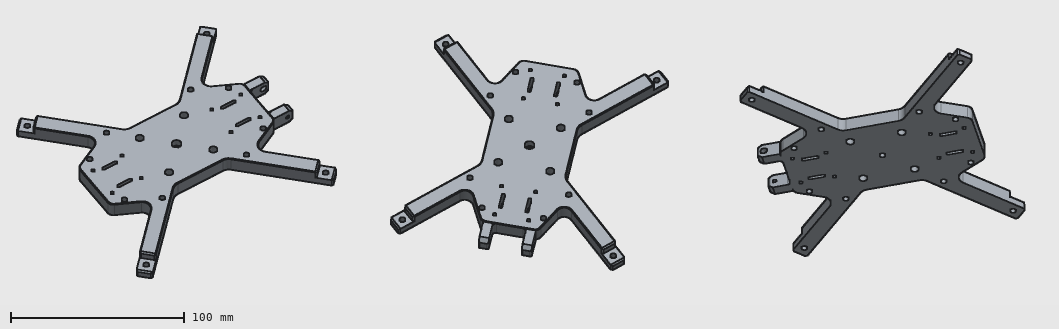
import cadquery as cq
import math

THICKNESS = 10.0
PLATE_HALF_WIDTH = 24.9
PLATE_HALF_LENGTH = 57.0
PLATE_END_HALF_WIDTH = 16.7
TAPER_SLOPE = 2.0
PLATE_CORNER_RADIUS = 4.0
WAIST_RADIUS = 6.0
ARMPIT_RADIUS = 5.0
RIM_CHAMFER = 0.5

ARM_ANGLES = (45, 135, 225, 315)
ARM_WIDTH = 9.6
ARM_LENGTH = 93.2
STEP_START = 83.5
STEP_HEIGHT = THICKNESS / 2
TIP_CHAMFER = 1.0
TIP_OVERLAP = 2.8

LUG_X = 12.7
LUG_WIDTH = 5.7
LUG_END_Y = 70.5
LUG_NOSE_LENGTH = 2.8
LUG_NOSE_DROP = 2.2
LUG_EDGE_FILLET = 1.0
LUG_ROOT_FILLET = 2.0
LUG_HOLE_Y = 66.6
LEFT_LUG_HOLE_DIAMETER = 4.0
RIGHT_LUG_HOLE_DIAMETER = 2.2

TIP_HOLE = (62.0, 62.0, 3.3)
ARM_HOLE = (29.1, 29.1, 3.3)
TAPER_HOLE = (18.1, 48.0, 3.3)
MOUNT_HOLE = (15.3, 15.3, 4.7)
INNER_TIE_HOLE = (10.0, 31.0, 2.0)
OUTER_TIE_HOLE = (10.0, 51.0, 2.0)
SLOT_X = 7.8
SLOT_Y = 41.0
SLOT_LENGTH = 10.0
SLOT_WIDTH = 2.0
CENTRE_DIAMETER = 3.3
CENTRE_BORE_DIAMETER = 5.5
CENTRE_BORE_DEPTH = THICKNESS / 2

POINT_REACH = 0.07


def mirrored(x, y):
    """The four mirror images of a point about the X and Y axes."""
    return [(sx * x, sy * y) for sx in (-1, 1) for sy in (-1, 1)]


def edges_at(body, points):
    """Vertical edges of the body that stand at the given points."""

    def is_wanted(edge):
        centre = edge.Center()
        return any(math.dist((centre.x, centre.y), point) < POINT_REACH for point in points)

    return body.edges("|Z").filter(is_wanted)


def arm_block(start, end, bottom, height):
    """A bar along +X with the vertical corners and the top edge of its outer end chamfered."""
    bar = cq.Workplane("XY").box(end - start, ARM_WIDTH, height, centered=(False, True, False))
    bar = bar.translate((start, 0, bottom))
    bar = bar.edges("|Z and >X").chamfer(TIP_CHAMFER)
    return bar.faces(">X").edges(">Z").chamfer(TIP_CHAMFER)


def flat_frame():
    """Tapered plate and four full-height arms, with the corners between them rounded."""
    arm_offset = ARM_WIDTH / math.sqrt(2)
    armpit_x = (PLATE_HALF_LENGTH + TAPER_SLOPE * PLATE_END_HALF_WIDTH - arm_offset) / (1 + TAPER_SLOPE)
    end_corner = (PLATE_END_HALF_WIDTH, PLATE_HALF_LENGTH)
    armpit = (armpit_x, armpit_x + arm_offset)
    waist = (PLATE_HALF_WIDTH, PLATE_HALF_WIDTH - arm_offset)

    right_side = [end_corner, armpit, waist]
    right_side += [(x, -y) for x, y in reversed(right_side)]
    left_side = [(-x, y) for x, y in reversed(right_side)]
    frame = cq.Workplane("XY").polyline(right_side + left_side).close().extrude(THICKNESS)
    arm = arm_block(0, STEP_START, 0, THICKNESS)
    for angle in ARM_ANGLES:
        frame = frame.union(arm.rotate((0, 0, 0), (0, 0, 1), angle))

    frame = edges_at(frame, mirrored(*waist)).fillet(WAIST_RADIUS)
    frame = edges_at(frame, mirrored(*armpit)).fillet(ARMPIT_RADIUS)
    return edges_at(frame, mirrored(*end_corner)).fillet(PLATE_CORNER_RADIUS)


def chamfer_rim(frame):
    """Chamfer the top outline, apart from the arm ends that have their own chamfer."""
    arm_end_edge = STEP_START - TIP_CHAMFER

    def is_rim(edge):
        centre = edge.Center()
        return math.hypot(centre.x, centre.y) < arm_end_edge - POINT_REACH

    return frame.faces(">Z").edges().filter(is_rim).chamfer(RIM_CHAMFER)


def add_tips(frame):
    """Half-height mounting tips beyond the step of each arm, overlapping into the arm."""
    tip = arm_block(STEP_START - TIP_OVERLAP, ARM_LENGTH, 0, STEP_HEIGHT)
    for angle in ARM_ANGLES:
        frame = frame.union(tip.rotate((0, 0, 0), (0, 0, 1), angle))
    return frame


def lug(x, hole_diameter):
    """Hinge lug with a tapered nose, rounded end corners and a cross hole."""
    nose_y = LUG_END_Y - LUG_NOSE_LENGTH
    profile = [
        (PLATE_HALF_LENGTH, 0),
        (nose_y, 0),
        (LUG_END_Y, LUG_NOSE_DROP),
        (LUG_END_Y, THICKNESS - LUG_NOSE_DROP),
        (nose_y, THICKNESS),
        (PLATE_HALF_LENGTH, THICKNESS),
    ]
    body = cq.Workplane("YZ").polyline(profile).close().extrude(LUG_WIDTH / 2, both=True)
    body = body.edges("|Z and >Y").fillet(LUG_EDGE_FILLET)
    hole = cq.Workplane("YZ").center(LUG_HOLE_Y, THICKNESS / 2).circle(hole_diameter / 2)
    return body.cut(hole.extrude(LUG_WIDTH, both=True)).translate((x, 0, 0))


def lug_root():
    """Concave fillet in the corner between the +X lug's inner side and the plate end."""
    inner_x = LUG_X - LUG_WIDTH / 2
    outline = cq.Workplane("XY").moveTo(inner_x, PLATE_HALF_LENGTH)
    outline = outline.lineTo(inner_x, PLATE_HALF_LENGTH + LUG_ROOT_FILLET)
    outline = outline.radiusArc((inner_x - LUG_ROOT_FILLET, PLATE_HALF_LENGTH), LUG_ROOT_FILLET)
    return outline.close().extrude(THICKNESS - RIM_CHAMFER)


def add_lugs(frame):
    """A pair of lugs with fillets where their inner sides meet the plate."""
    root = lug_root()
    frame = frame.union(root).union(root.mirror("YZ"))
    frame = frame.union(lug(-LUG_X, LEFT_LUG_HOLE_DIAMETER))
    return frame.union(lug(LUG_X, RIGHT_LUG_HOLE_DIAMETER))


def cut_holes(body):
    """All holes and slots through the thickness."""
    top = cq.Workplane("XY").workplane(offset=THICKNESS)
    for x, y, diameter in (TIP_HOLE, ARM_HOLE, TAPER_HOLE, MOUNT_HOLE, INNER_TIE_HOLE, OUTER_TIE_HOLE):
        body = body.cut(top.pushPoints(mirrored(x, y)).circle(diameter / 2).extrude(-THICKNESS))
    slots = top.pushPoints(mirrored(SLOT_X, SLOT_Y)).slot2D(SLOT_LENGTH, SLOT_WIDTH, 90)
    body = body.cut(slots.extrude(-THICKNESS))
    body = body.cut(top.circle(CENTRE_DIAMETER / 2).extrude(-THICKNESS))
    return body.cut(top.circle(CENTRE_BORE_DIAMETER / 2).extrude(-CENTRE_BORE_DEPTH))


frame = chamfer_rim(flat_frame())
result = cut_holes(add_lugs(add_tips(frame)))